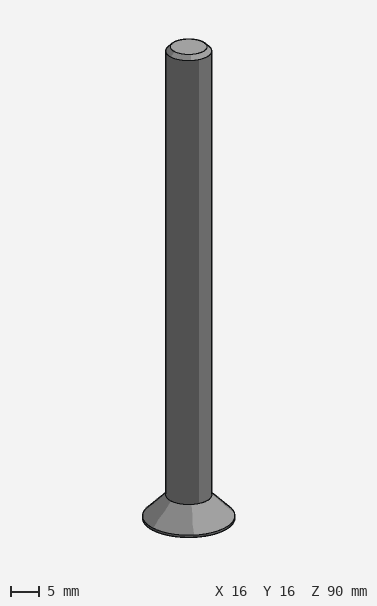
import cadquery as cq

total_length = 90.0
shank_diameter = 8.0
head_diameter = 16.0

shank_radius = shank_diameter / 2
head_radius = head_diameter / 2

rim_height = 0.45
cone_height = head_radius - shank_radius
head_height = rim_height + cone_height

tip_chamfer = 0.8

half_section = [
    (0, 0),
    (head_radius, 0),
    (head_radius, rim_height),
    (shank_radius, head_height),
    (shank_radius, total_length - tip_chamfer),
    (shank_radius - tip_chamfer, total_length),
    (0, total_length),
]

result = cq.Workplane("XZ").polyline(half_section).close().revolve(360, (0, 0, 0), (0, 1, 0))